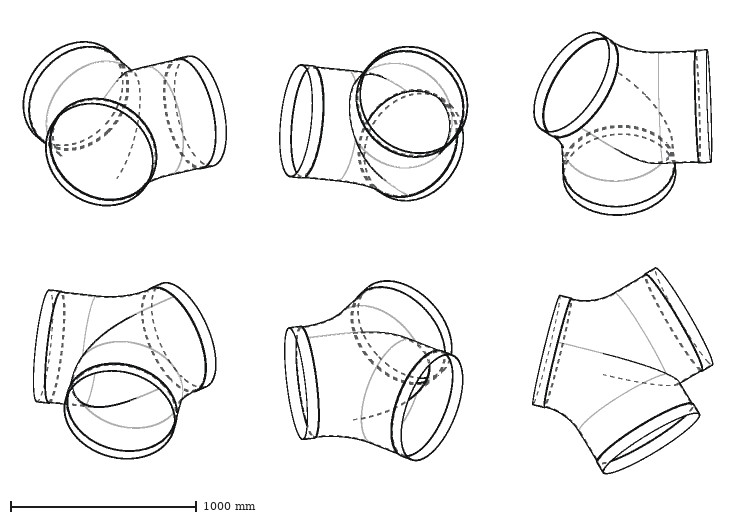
import cadquery as cq
import math

collar_outer_d = 610.0
body_outer_d = 600.0
body_inner_d = 590.0
collar_length = 66.0
seat_thickness = 5.0
cap_thickness = 5.0

branch_angle = 45.0
bend_radius = body_outer_d
overall_width = 1150.0

angle = math.radians(branch_angle)
bend_offset = bend_radius * (1 - math.cos(angle))
rim_reach = collar_outer_d / 2 * math.cos(angle)
straight_length = (overall_width / 2 - rim_reach - bend_offset) / math.sin(angle)
bend_start_y = collar_length
bend_end_y = bend_start_y + bend_radius * math.sin(angle)
end_x = bend_offset + straight_length * math.sin(angle)
end_y = bend_end_y + straight_length * math.cos(angle)
branch_direction = (math.sin(angle), math.cos(angle), 0)
clip_size = 4 * overall_width


def cylinder(diameter, length, start, direction):
    plane = cq.Plane(origin=start, normal=direction)
    return cq.Workplane(plane).circle(diameter / 2).extrude(length)


def half_branch(diameter):
    """Solid bend and straight run toward +X, trimmed at the middle plane."""
    bend = (
        cq.Workplane("XZ", origin=(0, bend_start_y, 0))
        .circle(diameter / 2)
        .revolve(branch_angle, (bend_radius, 12, 0), (bend_radius, -12, 0))
    )
    straight = cylinder(
        diameter, straight_length - collar_length + seat_thickness,
        (bend_offset, bend_end_y, 0), branch_direction,
    )
    right_side = cq.Workplane("XY").box(
        clip_size, clip_size, clip_size, centered=(False, True, True)
    )
    return bend.union(straight).intersect(right_side)


def collar(start, direction):
    """Sleeve running inward from its open rim."""
    sleeve = cylinder(collar_outer_d, collar_length, start, direction)
    return sleeve.cut(cylinder(body_outer_d, collar_length, start, direction))


def y_body(diameter):
    right = half_branch(diameter)
    return right.union(right.mirror("YZ"))


duct = y_body(body_outer_d).cut(y_body(body_inner_d))

cap_start = (0, collar_length - cap_thickness, 0)
cap = cylinder(body_outer_d, cap_thickness, cap_start, (0, 1, 0))
inlet_collar = collar((0, 0, 0), (0, 1, 0))
result = duct.union(inlet_collar.union(cap))

for side in (-1, 1):
    inward = (-side * math.sin(angle), -math.cos(angle), 0)
    result = result.union(collar((side * end_x, end_y, 0), inward))